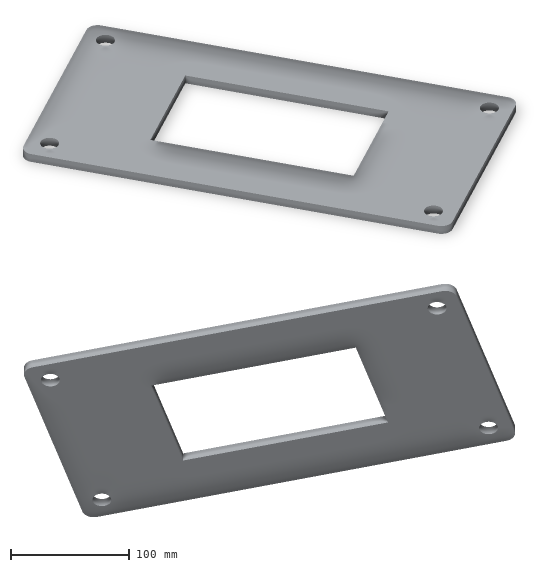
import cadquery as cq

plate_length = 380.0
plate_width = 200.0
plate_thickness = 8.0
corner_radius = 10.0

window_length = 180.0
window_width = 100.0

hole_diameter = 16.0
hole_edge_distance = 20.0
hole_spacing_x = plate_length - 2 * hole_edge_distance
hole_spacing_y = plate_width - 2 * hole_edge_distance


def make_plate():
    """Flat plate with rounded vertical corners, centred on the origin."""
    plate = cq.Workplane("XY").box(plate_length, plate_width, plate_thickness)
    return plate.edges("|Z").fillet(corner_radius)


def cut_window(body):
    """Cut the sharp-cornered window through the middle of the plate."""
    return body.faces(">Z").workplane().rect(window_length, window_width).cutThruAll()


def drill_mounting_holes(body):
    """Drill a through hole near each plate corner."""
    hole_layout = body.faces(">Z").workplane().rect(hole_spacing_x, hole_spacing_y, forConstruction=True)
    return hole_layout.vertices().hole(hole_diameter)


result = drill_mounting_holes(cut_window(make_plate()))